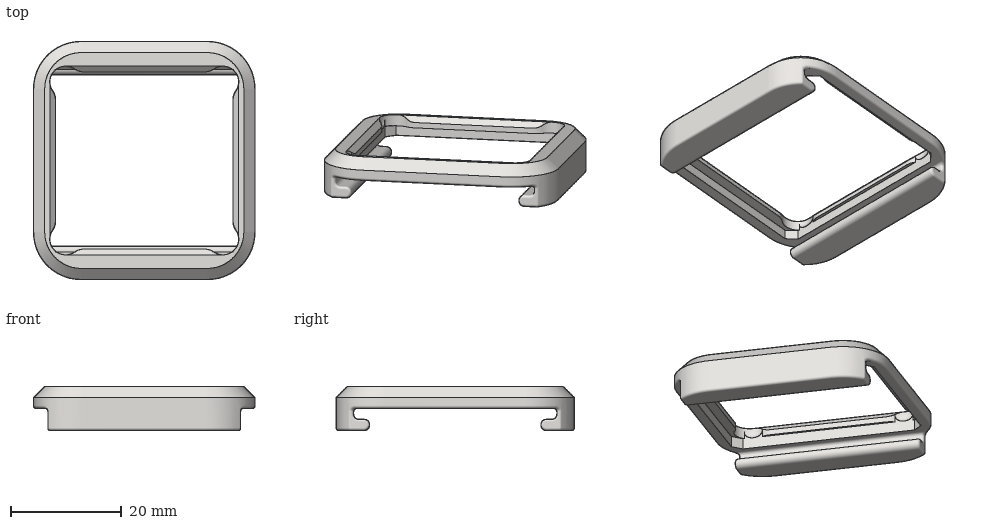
import cadquery as cq
import math

LENGTH_X = 40.0
LENGTH_Y = 43.0
HEIGHT = 8.0
CORNER_RADIUS = 8.6
TOP_CHAMFER = 2.0
EDGE_FILLET = 0.47

PLATE_BOTTOM = 5.98
OPENING_HALF = 17.03
RELIEF_RADIUS = 2.85
LIP_WIDTH = 1.05
DIMPLE_START = 7.22
DIMPLE_FILLET = 1.7

CAVITY_HALF_X = 17.85
CAVITY_HALF_Y = 16.45
CAVITY_CORNER_CHAMFER = 1.68

SIDE_BOTTOM = 4.0
RAIL_HALF_LENGTH = 17.4
RAIL_THICKNESS = 2.05
GROOVE_HALF_Y = 18.3
GROOVE_FLOOR_FILLET = 0.9
GROOVE_ROOF_FILLET = 0.6
NOTCH_FILLET = 0.47

CAVITY_BOTTOM = (RAIL_THICKNESS + SIDE_BOTTOM) / 2
RAIL_TIP_RADIUS = RAIL_THICKNESS / 2
RAIL_TIP_CENTER_Y = CAVITY_HALF_Y
RAIL_TIP_Y = RAIL_TIP_CENTER_Y - RAIL_TIP_RADIUS
LIP_HALF = OPENING_HALF - LIP_WIDTH
RELIEF_CENTER = OPENING_HALF - RELIEF_RADIUS
RELIEF_CENTERS = [(sx * RELIEF_CENTER, sy * RELIEF_CENTER) for sx in (-1, 1) for sy in (-1, 1)]
CLEARANCE = 2.15
TOLERANCE = 0.005


def block(size_x, size_y, bottom, top):
    """Upright box centred on the Z axis."""
    return cq.Workplane("XY").workplane(offset=bottom).rect(size_x, size_y).extrude(top - bottom)


def outer_body():
    body = block(LENGTH_X, LENGTH_Y, 0, HEIGHT).edges("|Z").fillet(CORNER_RADIUS)
    return body.faces(">Z").chamfer(TOP_CHAMFER)


def rail_gap():
    """Space between the two hooked rails, run along X below the frame sides."""
    half = (
        cq.Workplane("YZ")
        .moveTo(0, 0)
        .lineTo(RAIL_TIP_CENTER_Y, 0)
        .threePointArc((RAIL_TIP_Y, RAIL_TIP_RADIUS), (RAIL_TIP_CENTER_Y, RAIL_THICKNESS))
        .lineTo(GROOVE_HALF_Y - GROOVE_FLOOR_FILLET, RAIL_THICKNESS)
        .radiusArc((GROOVE_HALF_Y, RAIL_THICKNESS + GROOVE_FLOOR_FILLET), -GROOVE_FLOOR_FILLET)
        .lineTo(GROOVE_HALF_Y, SIDE_BOTTOM - GROOVE_ROOF_FILLET)
        .radiusArc((GROOVE_HALF_Y - GROOVE_ROOF_FILLET, SIDE_BOTTOM), -GROOVE_ROOF_FILLET)
        .lineTo(0, SIDE_BOTTOM)
        .close()
        .extrude(LENGTH_X / 2 + CLEARANCE, both=True)
    )
    return half.union(half.mirror("XZ"))


def rail_end_notch(side):
    """Space beyond one end of the rails, below the frame side."""
    depth = LENGTH_X / 2 - RAIL_HALF_LENGTH + CLEARANCE
    notch = block(depth, LENGTH_Y + 2 * CLEARANCE, -CLEARANCE, SIDE_BOTTOM)
    inner_face = "<X" if side > 0 else ">X"
    notch = notch.faces(inner_face).edges(">Z").fillet(NOTCH_FILLET)
    return notch.translate((side * (RAIL_HALF_LENGTH + depth / 2), 0, 0))


def lower_cavity():
    cavity = block(2 * CAVITY_HALF_X, 2 * CAVITY_HALF_Y, CAVITY_BOTTOM, PLATE_BOTTOM)
    return cavity.edges("|Z").chamfer(CAVITY_CORNER_CHAMFER)


def is_lip_end(edge):
    """True for the upright edges where a corner relief meets a lip."""
    middle = edge.Center()
    along_lip, across_lip = sorted((abs(middle.x), abs(middle.y)))
    return along_lip < RELIEF_CENTER and abs(across_lip - LIP_HALF) < TOLERANCE


def plate_opening():
    """Square opening with round corner reliefs that blend into the lips."""
    lips = block(2 * LIP_HALF, 2 * LIP_HALF, CAVITY_BOTTOM, HEIGHT)
    reliefs = (
        cq.Workplane("XY")
        .workplane(offset=CAVITY_BOTTOM)
        .pushPoints(RELIEF_CENTERS)
        .circle(RELIEF_RADIUS)
        .extrude(HEIGHT - CAVITY_BOTTOM)
    )
    blend = lips.union(reliefs).edges("|Z").filter(is_lip_end).fillet(RELIEF_RADIUS)
    return blend.intersect(block(2 * OPENING_HALF, 2 * CAVITY_HALF_Y, 0, HEIGHT))


def corner_dimples():
    """Round-bottomed ends of the corner reliefs, sunk into the rail walls."""
    return (
        cq.Workplane("XY")
        .workplane(offset=DIMPLE_START - DIMPLE_FILLET)
        .pushPoints(RELIEF_CENTERS)
        .circle(RELIEF_RADIUS)
        .extrude(HEIGHT - DIMPLE_START + DIMPLE_FILLET)
        .faces("<Z")
        .edges()
        .fillet(DIMPLE_FILLET)
    )


def lip_bevel():
    """Wedge that bevels one lip down from the edge of the opening."""
    return (
        cq.Workplane("XZ")
        .moveTo(OPENING_HALF, HEIGHT)
        .lineTo(LIP_HALF, HEIGHT - LIP_WIDTH)
        .lineTo(LIP_HALF - LIP_WIDTH, HEIGHT - LIP_WIDTH)
        .lineTo(LIP_HALF - LIP_WIDTH, HEIGHT)
        .close()
        .extrude(RELIEF_CENTER, both=True)
    )


def is_lower_rim(edge):
    """True for edges of the outer wall that border the rail gap, the notches or the bottom."""
    middle = edge.positionAt(0.5)
    corner_x = max(abs(middle.x) - (LENGTH_X / 2 - CORNER_RADIUS), 0)
    corner_y = max(abs(middle.y) - (LENGTH_Y / 2 - CORNER_RADIUS), 0)
    on_wall = abs(math.hypot(corner_x, corner_y) - CORNER_RADIUS) < TOLERANCE
    return on_wall and edge.BoundingBox().zmax < SIDE_BOTTOM + TOLERANCE


def is_rail_end(edge):
    """True for edges around the flat end faces of the rails, below the notch fillet."""
    box = edge.BoundingBox()
    in_end_plane = abs(max(abs(box.xmin), abs(box.xmax)) - RAIL_HALF_LENGTH) < TOLERANCE
    flat = box.xmax - box.xmin < TOLERANCE
    return in_end_plane and flat and box.zmin < SIDE_BOTTOM - NOTCH_FILLET - TOLERANCE


result = outer_body().cut(rail_gap())
for side in (-1, 1):
    result = result.cut(rail_end_notch(side))
result = result.edges().filter(lambda edge: is_lower_rim(edge) or is_rail_end(edge)).fillet(EDGE_FILLET)

result = result.cut(lower_cavity()).cut(plate_opening()).cut(corner_dimples())
for turn in range(4):
    result = result.cut(lip_bevel().rotate((0, 0, 0), (0, 0, 1), 90 * turn))